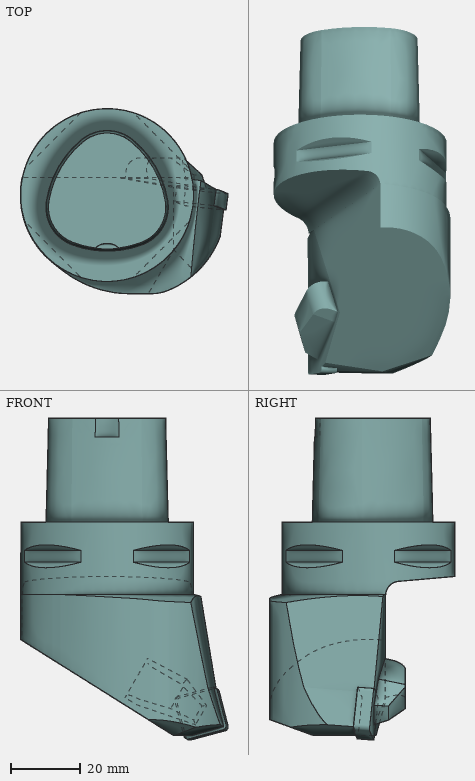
import cadquery as cq
import math

HALF_SPACE = 120.0

shank_height = 30.0
shank_apex = 18.65
shank_lobe_radius = 11.6
shank_flank_radius = 28.7
shank_taper_run = shank_height / 40.0
notch_radius = 4.8
notch_center_y = -18.75
notch_depth = 5.4

collar_diameter = 50.0
collar_radius = collar_diameter / 2
collar_height = 20.9
groove_count = 4
groove_floor_distance = 22.2
groove_floor_width = 3.4
groove_flank_angle = 30.0
groove_center_z = -9.9

chip_face_y = 5.0
underside_angle = 5.0
underside_rim_z = -15.75
underside_fillet = 4.0

head_back_radius = 25.12
head_bottom_z = -61.65
head_front_y = -28.57
blend_start_angle = 231.1
belly_radius = 32.0
flat_start_x = 6.7
flat_end_x = 12.6
shoulder_radius = 13.6
shoulder_sweep = 23.0
side_radius = 27.0
head_top_cone_angle = 15.0

heel_start_z = -33.9
heel_angle = 32.1
toe_angle = 20.0
toe_front_z = -57.1
flank_point = (27.25, 4.0, -22.4)
flank_lean = 0.176
flank_skew = 0.116
relief_setback = 0.8

insert_side = 12.7
insert_thickness = 4.76
insert_corner_radius = 1.2
insert_tip = (35.26, 0.25, -60.04)
approach_angle = 15.0
rake_slope = 0.105

clamp_tilt = 30.0
clamp_top_y = 10.7
clamp_width = 15.6
clamp_center = (8.45, -45.07)
clamp_length = 22.0
clamp_flat_length = 13.0
clamp_upper_side_length = 13.0
clamp_lower_side_length = 4.0
clamp_nose_y = 4.8
clamp_nose_width = 7.0
clamp_side_draft = 15.0
clamp_back_radius = 3.7


def trim_block(point, normal):
    """Block that fills the side of a plane toward which the normal points."""
    plane = cq.Plane(origin=point, normal=normal)
    return cq.Workplane(plane).rect(2 * HALF_SPACE, 2 * HALF_SPACE).extrude(HALF_SPACE)


def polar(radius, degrees):
    angle = math.radians(degrees)
    return (radius * math.cos(angle), radius * math.sin(angle))


def shank_section(z, offset):
    """Three lobe arcs and three flank arcs, all tangent, moved inward by the offset."""
    lobe_center = shank_apex - shank_lobe_radius
    gap = shank_flank_radius - shank_lobe_radius
    flank_center = (math.sqrt(4 * gap ** 2 - 3 * lobe_center ** 2) - lobe_center) / 2
    apex = shank_apex - offset
    flank = shank_flank_radius - flank_center - offset
    reach = (shank_flank_radius - offset) / gap
    lobe_x, lobe_y = polar(lobe_center, -30)
    joint_x = reach * lobe_x
    joint_y = flank_center + reach * (lobe_y - flank_center)
    joint_distance = math.hypot(joint_x, joint_y)
    joint_angle = math.degrees(math.atan2(joint_y, joint_x))
    flank_half = joint_angle + 90

    section = cq.Workplane("XY", origin=(0, 0, z)).moveTo(*polar(joint_distance, joint_angle))
    for lobe_angle in (-30, 90, 210):
        next_flank = lobe_angle + 60
        section = section.threePointArc(
            polar(apex, lobe_angle), polar(joint_distance, next_flank - flank_half)
        )
        section = section.threePointArc(
            polar(flank, next_flank), polar(joint_distance, next_flank + flank_half)
        )
    return section.close().wire().val()


def make_shank():
    base = shank_section(0, 0)
    top = shank_section(shank_height, shank_taper_run)
    shank = cq.Workplane(cq.Solid.makeLoft([base, top], True))
    notch = (
        cq.Workplane("XY", origin=(0, notch_center_y, shank_height - notch_depth))
        .circle(notch_radius)
        .extrude(notch_depth)
    )
    return shank.cut(notch)


def make_collar():
    collar = cq.Workplane("XY").circle(collar_radius).extrude(-collar_height)
    depth = collar_radius - groove_floor_distance
    half_floor = groove_floor_width / 2
    half_mouth = half_floor + depth * math.tan(math.radians(groove_flank_angle))
    groove = (
        cq.Workplane("XZ")
        .polyline([
            (groove_floor_distance, groove_center_z - half_floor),
            (collar_radius, groove_center_z - half_mouth),
            (collar_radius, groove_center_z + half_mouth),
            (groove_floor_distance, groove_center_z + half_floor),
        ])
        .close()
        .extrude(collar_radius, both=True)
    )
    for index in range(groove_count):
        angle = 45 + index * 360 / groove_count
        collar = collar.cut(groove.rotate((0, 0, 0), (0, 0, 1), angle))
    return collar


sin_approach = math.sin(math.radians(approach_angle))
cos_approach = math.cos(math.radians(approach_angle))
side_edge = cq.Vector(-sin_approach, rake_slope, cos_approach)
end_edge = cq.Vector(-cos_approach, rake_slope, -sin_approach)
rake_normal = end_edge.cross(side_edge).normalized()
rake_plane = cq.Plane(origin=insert_tip, xDir=end_edge, normal=rake_normal)


def make_head():
    blend_start = polar(head_back_radius, blend_start_angle)
    blend_angle = math.radians(270 - blend_start_angle)
    belly_center = (flat_start_x, head_front_y + belly_radius)
    belly_start = (
        belly_center[0] - belly_radius * math.sin(blend_angle),
        belly_center[1] - belly_radius * math.cos(blend_angle),
    )
    belly_mid = (
        belly_center[0] - belly_radius * math.sin(blend_angle / 2),
        belly_center[1] - belly_radius * math.cos(blend_angle / 2),
    )
    sweep = math.radians(shoulder_sweep)
    shoulder_center_y = head_front_y + shoulder_radius
    shoulder_mid = (
        flat_end_x + shoulder_radius * math.sin(sweep / 2),
        shoulder_center_y - shoulder_radius * math.cos(sweep / 2),
    )
    shoulder_end = (
        flat_end_x + shoulder_radius * math.sin(sweep),
        shoulder_center_y - shoulder_radius * math.cos(sweep),
    )
    side_center = (
        shoulder_end[0] - side_radius * math.sin(sweep),
        shoulder_end[1] + side_radius * math.cos(sweep),
    )
    side_mid_x, side_mid_y = polar(side_radius, (shoulder_sweep - 90) / 2)
    side_end = (side_center[0] + side_radius, side_center[1])
    back_x = -math.sqrt(head_back_radius ** 2 - chip_face_y ** 2)

    head = (
        cq.Workplane("XY", origin=(0, 0, head_bottom_z))
        .moveTo(back_x, chip_face_y)
        .threePointArc(polar(head_back_radius, (180 + blend_start_angle) / 2), blend_start)
        .lineTo(*belly_start)
        .threePointArc(belly_mid, (flat_start_x, head_front_y))
        .lineTo(flat_end_x, head_front_y)
        .threePointArc(shoulder_mid, shoulder_end)
        .threePointArc((side_center[0] + side_mid_x, side_center[1] + side_mid_y), side_end)
        .lineTo(side_end[0], chip_face_y)
        .close()
        .extrude(-head_bottom_z - collar_height)
    )

    cone_reach = 2 * collar_radius
    cone_drop = (cone_reach - head_back_radius) * math.tan(math.radians(head_top_cone_angle))
    cone = (
        cq.Workplane("XZ")
        .polyline([
            (0, -collar_height),
            (head_back_radius, -collar_height),
            (cone_reach, -collar_height - cone_drop),
            (cone_reach, head_bottom_z),
            (0, head_bottom_z),
        ])
        .close()
        .revolve(360, (0, 0), (0, 1))
    )
    head = head.intersect(cone)

    heel = math.radians(heel_angle)
    toe = math.radians(toe_angle)
    tip = cq.Vector(*insert_tip)
    side_outward = -(end_edge.normalized())
    end_outward = -(side_edge.normalized())
    trims = [
        ((-head_back_radius, 0, heel_start_z), (-math.sin(heel), 0, -math.cos(heel))),
        ((0, head_front_y, toe_front_z), (0, -math.sin(toe), -math.cos(toe))),
        (tip - end_outward * relief_setback, end_outward),
        (insert_tip, rake_normal),
    ]
    for point, normal in trims:
        head = head.cut(trim_block(point, normal))

    above_flank = trim_block(flank_point, (1, -flank_skew, flank_lean))
    beside_insert = trim_block(tip - side_outward * relief_setback, side_outward)
    return head.cut(above_flank.intersect(beside_insert))


def make_chip_relief():
    """Space in front of the chip face, below the sloping underside of the collar."""
    slope = math.tan(math.radians(underside_angle))
    inner_z = underside_rim_z - (collar_radius - chip_face_y) * slope
    outer_y = 2 * collar_radius
    outer_z = underside_rim_z + (outer_y - collar_radius) * slope
    return (
        cq.Workplane("YZ")
        .polyline([
            (chip_face_y, inner_z),
            (outer_y, outer_z),
            (outer_y, head_bottom_z),
            (chip_face_y, head_bottom_z),
        ])
        .close()
        .extrude(HALF_SPACE, both=True)
        .edges(cq.NearestToPointSelector((0, chip_face_y, inner_z)))
        .fillet(underside_fillet)
    )


def make_clamp():
    """Finger with a rounded back and a sloping, tapered nose that bears on the insert."""
    tilt = math.radians(clamp_tilt)
    along = cq.Vector(math.cos(tilt), 0, -math.sin(tilt))
    across = along.cross(cq.Vector(0, 1, 0))
    origin = (clamp_center[0], 0, clamp_center[1])
    half_width = clamp_width / 2
    half_nose = clamp_nose_width / 2
    rear_margin = clamp_top_y
    plan = (
        cq.Workplane(cq.Plane(origin=origin, xDir=along, normal=(0, 1, 0)))
        .polyline([
            (-rear_margin, -half_width),
            (clamp_upper_side_length, -half_width),
            (clamp_length, -half_nose),
            (clamp_length, half_nose),
            (clamp_lower_side_length, half_width),
            (-rear_margin, half_width),
        ])
        .close()
        .extrude(clamp_top_y, taper=clamp_side_draft)
    )
    profile = (
        cq.Workplane(cq.Plane(origin=origin, xDir=along, normal=across))
        .polyline([
            (0, 0),
            (clamp_length, 0),
            (clamp_length, clamp_nose_y),
            (clamp_flat_length, clamp_top_y),
            (0, clamp_top_y),
        ])
        .close()
        .extrude(clamp_width, both=True)
        .edges(cq.NearestToPointSelector((clamp_center[0], clamp_top_y, clamp_center[1])))
        .fillet(clamp_back_radius)
    )
    return plan.intersect(profile)


def make_insert():
    half = insert_side / 2
    return (
        cq.Workplane(rake_plane)
        .center(half, half)
        .rect(insert_side, insert_side)
        .extrude(-insert_thickness)
        .edges(cq.ParallelDirSelector(rake_normal))
        .fillet(insert_corner_radius)
    )


insert = make_insert()
collar = make_collar().cut(make_chip_relief())
holder = make_shank().union(collar).union(make_head()).union(make_clamp()).cut(insert)

result = cq.Compound.makeCompound([holder.solids().val(), insert.val()])